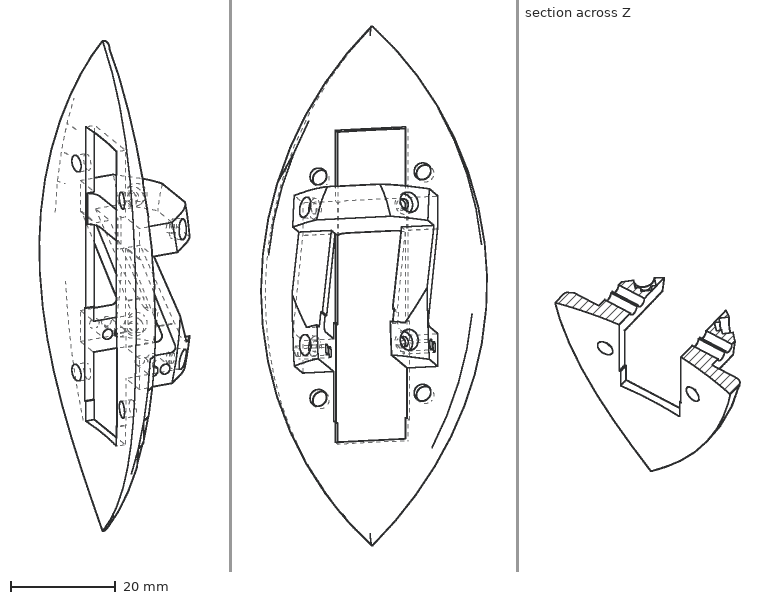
import cadquery as cq
import math

plate_height = 101.5
plate_width = 43.7
plate_depth = 4.7
middle_depth = 1.5
edge_round = 1.5

window_width = 13.8
window_height = 60.9
plate_hole_dia = 3.2
plate_hole_x = 10.3
plate_hole_z = 21.6

bracket_width = 26.6
bracket_back = 13.5
bracket_inner_z = 10.3
bracket_outer_z = 16.6
bracket_band = bracket_outer_z - bracket_inner_z
block_fillet = 2.5
arm_gap = 14.4
arm_gap_bottom = -26.4
arm_gap_top = -7.1
strut_top_front = 0.2
strut_top_back = 3.1
strut_foot_front = 8.1
strut_foot_back = 11.7
strut_fillet = 1.0

barrel_sweep_radius = 77.6
corner_y = 8.7
crown_x = 10.0
corner_angle = 45.0
barrel_half_sweep = 20.0

pin_hole_dia = 2.0
pin_hole_places = (2.9, 5.5)
pin_hole_z = (-bracket_inner_z - bracket_outer_z) / 2
corner_hole_dia = 4.0
corner_hole_depth = 2.0
pilot_dia = 2.0
pilot_depth = 1.0
corner_hole_x = 10.3


def box(width, y_start, y_end, z_start, z_end):
    """Box centred on X between the given Y and Z limits."""
    size = (width, y_end - y_start, z_end - z_start)
    return cq.Workplane("XY").box(*size, centered=(True, False, False)).translate((0, y_start, z_start))


def make_plate():
    """Pointed plate with a rounded back edge and a concave cylindrical front."""
    half_width = plate_width / 2
    half_height = plate_height / 2
    plate = (
        cq.Workplane("XZ")
        .moveTo(0, -half_height)
        .threePointArc((half_width, 0), (0, half_height))
        .threePointArc((-half_width, 0), (0, -half_height))
        .close()
        .extrude(plate_depth)
        .faces(">Y")
        .edges()
        .fillet(edge_round)
    )
    rise = plate_depth - middle_depth
    front_radius = (half_width**2 + rise**2) / (2 * rise)
    front_cutter = (
        cq.Workplane("XY", origin=(0, -middle_depth - front_radius, -half_height))
        .circle(front_radius)
        .extrude(plate_height)
    )
    holes = (
        cq.Workplane("XZ")
        .rect(2 * plate_hole_x, 2 * plate_hole_z, forConstruction=True)
        .vertices()
        .circle(plate_hole_dia / 2)
        .extrude(plate_depth)
    )
    return plate.cut(front_cutter).cut(holes)


def make_barrel():
    """Corner profile swept about an axis parallel to X."""
    half_width = bracket_width / 2
    slope = math.radians(corner_angle)
    shoulder_y = corner_y + (half_width - crown_x) * math.tan(slope)
    crown_radius = crown_x / math.sin(slope)
    crown_y = shoulder_y + crown_radius * (1 - math.cos(slope))
    axis_y = corner_y - barrel_sweep_radius
    return (
        cq.Workplane("XY")
        .moveTo(-half_width, -plate_depth)
        .lineTo(-half_width, corner_y)
        .lineTo(-crown_x, shoulder_y)
        .threePointArc((0, crown_y), (crown_x, shoulder_y))
        .lineTo(half_width, corner_y)
        .lineTo(half_width, -plate_depth)
        .close()
        .revolve(2 * barrel_half_sweep, (0, axis_y, 0), (1, axis_y, 0))
        .rotate((0, axis_y, 0), (1, axis_y, 0), -barrel_half_sweep)
    )


def make_struts():
    """Sloping bar from the front of the block down to the back of the arms."""
    overlap = bracket_band / 2
    return (
        cq.Workplane("YZ")
        .polyline([
            (strut_top_front, bracket_inner_z + overlap),
            (strut_top_back, bracket_inner_z + overlap),
            (strut_top_back, bracket_inner_z),
            (strut_foot_back, -bracket_inner_z),
            (strut_foot_back, -bracket_inner_z - overlap),
            (strut_foot_front, -bracket_inner_z - overlap),
            (strut_foot_front, -bracket_inner_z),
            (strut_top_front, bracket_inner_z),
        ])
        .close()
        .extrude(bracket_width / 2, both=True)
    )


def make_bracket():
    """Block, struts and arms, with the barrel-shaped back."""
    block = box(bracket_width, 0, bracket_back, bracket_inner_z, bracket_outer_z)
    arms = box(bracket_width, 0, bracket_back, -bracket_outer_z, -bracket_inner_z)
    bracket = block.union(arms).union(make_struts())
    foot_corner = cq.selectors.BoxSelector(
        (-bracket_width, strut_foot_front - strut_fillet, -bracket_inner_z - strut_fillet),
        (bracket_width, strut_foot_front + strut_fillet, -bracket_inner_z + strut_fillet),
    )
    bracket = bracket.edges("|X").edges(foot_corner).fillet(strut_fillet)
    return bracket.intersect(make_barrel())


def make_window_fillets():
    """Concave corners between the front of the block and the window sides."""
    blend = box(window_width, -middle_depth, 0, bracket_inner_z, bracket_outer_z)
    hollow = (
        box(window_width, -2 * block_fillet, 0, bracket_inner_z, bracket_outer_z)
        .edges("|Z and >Y")
        .fillet(block_fillet)
    )
    return blend.cut(hollow)


def cut_openings(body):
    """Window, gap between the arms, and clear space between the struts."""
    half_window = window_height / 2
    body = body.cut(box(window_width, -plate_depth, 0, -half_window, half_window))
    body = body.cut(box(window_width, 0, bracket_back, -half_window, bracket_inner_z))
    return body.cut(box(arm_gap, -plate_depth, bracket_back, arm_gap_bottom, arm_gap_top))


def cut_bracket_holes(body):
    """Cross holes through the arms and stepped blind holes square to the back corners."""
    pins = (
        cq.Workplane("YZ")
        .pushPoints([(y, pin_hole_z) for y in pin_hole_places])
        .circle(pin_hole_dia / 2)
        .extrude(bracket_width, both=True)
    )
    body = body.cut(pins)
    slope = math.radians(corner_angle)
    hole_z = (bracket_inner_z + bracket_outer_z) / 2
    barrel_drop = barrel_sweep_radius - math.sqrt(barrel_sweep_radius**2 - hole_z**2)
    hole_y = corner_y - barrel_drop + (bracket_width / 2 - corner_hole_x) * math.tan(slope)
    for side in (-1, 1):
        outward = cq.Vector(side * math.sin(slope), math.cos(slope), 0)
        for z in (-hole_z, hole_z):
            mouth = cq.Vector(side * corner_hole_x, hole_y, z)
            start = mouth - outward * corner_hole_depth
            hole = cq.Solid.makeCylinder(corner_hole_dia / 2, 2 * corner_hole_depth, start, outward)
            pilot_start = start - outward * pilot_depth
            pilot = cq.Solid.makeCylinder(pilot_dia / 2, 2 * pilot_depth, pilot_start, outward)
            body = body.cut(cq.Workplane(hole)).cut(cq.Workplane(pilot))
    return body


body = cut_openings(make_plate().union(make_bracket()))
result = cut_bracket_holes(body.union(make_window_fillets()))